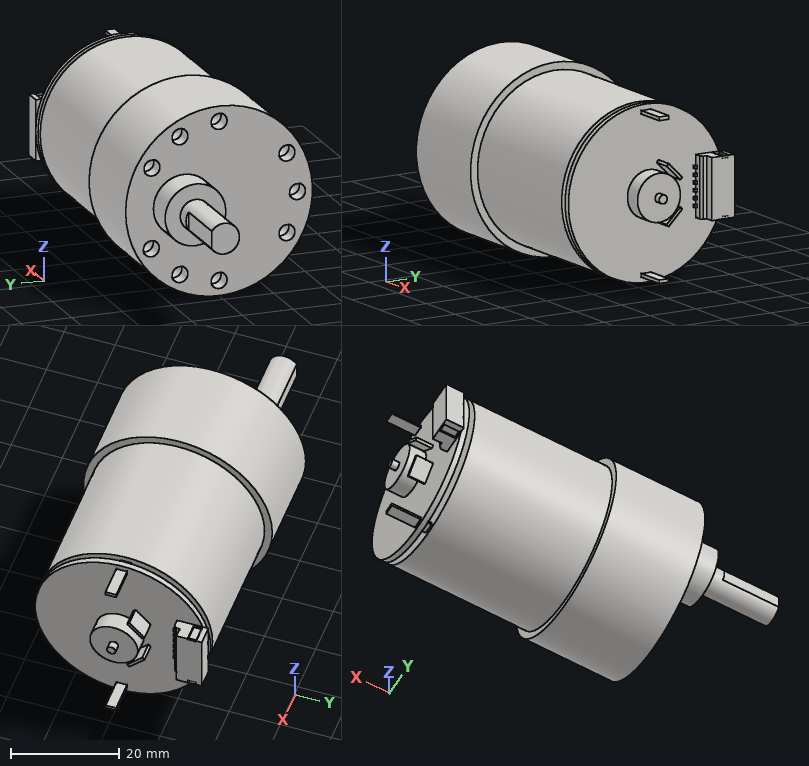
import cadquery as cq
import math


total_length = 77.9
gearbox_diameter = 37.0
gearbox_length = 19.0
shaft_offset = 7.0
boss_diameter = 12.0
boss_length = 6.1
shaft_diameter = 6.0
shaft_reach = 21.0
flat_length = 12.0
flat_depth = 0.55

hole_circle_diameter = 31.0
hole_diameter = 3.1
hole_depth = 3.1
drill_tip_angle = 118.0
hole_angles = (31, 60, 90, 150, 180, 210, 270, 300, 330)

can_diameter = 34.0
can_length = 29.4
bearing_diameter = 3.0
tail_diameter = 1.7
terminal_width = 2.1
terminal_thickness = 0.7
terminal_radius = 15.5
tail_recess = 0.2

board_gap = 1.2
board_thickness = 1.2

magnet_diameter = 9.35
magnet_thickness = 3.5
magnet_gap = 0.9

sensor_width = 4.2
sensor_thickness = 0.6
sensor_height = 3.5
sensor_y = 4.0
sensor_z = 4.3
sensor_tilt = 45.0

connector_width = 12.0
connector_height = 3.75
connector_depth = 5.0
ledge_height = 1.9
ledge_depth = 1.2
ledge_chamfer = 0.5
slot_margin = 0.2
slot_setback = 1.2
slot_length = 1.6
slot_depth = 0.5
pin_count = 6
pin_pitch = 1.5
pin_size = 0.55
pin_reach = 0.55

can_end = gearbox_length + can_length
board_front = can_end + board_gap
board_back = board_front + board_thickness
terminal_end = total_length - shaft_reach
tail_end = terminal_end - tail_recess
terminal_positions = (-terminal_radius, terminal_radius)


def cylinder_x(x_start, x_end, diameter, y=0.0):
    """Cylinder parallel to X between two X positions."""
    disc = cq.Workplane("YZ", origin=(x_start, y, 0)).circle(diameter / 2)
    return disc.extrude(x_end - x_start)


def box_between(x_range, y_range, z_range):
    """Axis-aligned box given by its (low, high) limits on each axis."""
    sizes = [high - low for low, high in (x_range, y_range, z_range)]
    corner = (x_range[0], y_range[0], z_range[0])
    return cq.Workplane("XY", origin=corner).box(*sizes, centered=False)


def make_output_shaft():
    """D-shaft with its flat on the +Y side."""
    shaft = cylinder_x(-shaft_reach, 0, shaft_diameter, shaft_offset)
    shaft_top = shaft_offset + shaft_diameter / 2
    flat = box_between(
        (-shaft_reach, flat_length - shaft_reach),
        (shaft_top - flat_depth, shaft_top),
        (-shaft_diameter / 2, shaft_diameter / 2),
    )
    return shaft.cut(flat)


def make_mounting_hole(angle):
    """Blind hole with a conical drill tip, at an angle from +Y toward +Z."""
    radius = hole_diameter / 2
    tip_length = radius / math.tan(math.radians(drill_tip_angle / 2))
    drill = (
        cq.Workplane("XY")
        .polyline([(0, 0), (0, radius), (hole_depth, radius), (hole_depth + tip_length, 0)])
        .close()
        .revolve(360, (0, 0, 0), (1, 0, 0))
    )
    return drill.translate((0, hole_circle_diameter / 2, 0)).rotate((0, 0, 0), (1, 0, 0), angle)


def make_terminal(z_center):
    """Flat terminal blade that runs from the can through the board."""
    return box_between(
        (can_end, terminal_end),
        (-terminal_width / 2, terminal_width / 2),
        (z_center - terminal_thickness / 2, z_center + terminal_thickness / 2),
    )


def make_gearmotor():
    """Gearbox, output shaft, motor can, tail shaft and terminals."""
    body = cylinder_x(0, gearbox_length, gearbox_diameter)
    for angle in hole_angles:
        body = body.cut(make_mounting_hole(angle))
    body = body.union(cylinder_x(-boss_length, 0, boss_diameter, shaft_offset))
    body = body.union(make_output_shaft())
    body = body.union(cylinder_x(gearbox_length, can_end, can_diameter))
    body = body.union(cylinder_x(can_end, board_front, bearing_diameter))
    body = body.union(cylinder_x(can_end, tail_end, tail_diameter))
    for z_center in terminal_positions:
        body = body.union(make_terminal(z_center))
    return body


def make_sensor(side):
    """Flat Hall sensor facing the magnet; side is +1 above the axis and -1 below it."""
    sensor = cq.Workplane("XY").box(sensor_height, sensor_thickness, sensor_width)
    sensor = sensor.rotate((0, 0, 0), (1, 0, 0), side * sensor_tilt)
    return sensor.translate((board_back + sensor_height / 2, sensor_y, side * sensor_z))


def make_connector():
    """Stepped connector housing with a slot in each side wall and a row of pins."""
    y_outer = can_diameter / 2
    y_step = y_outer - connector_depth
    y_ledge = y_step - ledge_depth
    x_ledge = board_back + ledge_height
    x_top = board_back + connector_height
    half_width = connector_width / 2

    housing = box_between((board_back, x_top), (y_step, y_outer), (-half_width, half_width))
    ledge = box_between((board_back, x_ledge), (y_ledge, y_step), (-half_width, half_width))
    housing = housing.union(ledge.edges(">X and <Y").chamfer(ledge_chamfer))

    slot_x = (board_back + slot_margin, x_top - slot_margin)
    slot_y = (y_outer - slot_setback - slot_length, y_outer - slot_setback)
    slot = box_between(slot_x, slot_y, (half_width - slot_depth, half_width))
    housing = housing.cut(slot).cut(slot.mirror("XY"))

    for index in range(pin_count):
        pin_z = (index - (pin_count - 1) / 2) * pin_pitch
        pin = box_between(
            (board_back, board_back + pin_size),
            (y_ledge - pin_reach, y_ledge),
            (pin_z - pin_size / 2, pin_z + pin_size / 2),
        )
        housing = housing.union(pin)
    return housing


def make_encoder_board():
    """Round board with two Hall sensors and a connector, fitted over shaft and terminals."""
    board = cylinder_x(board_front, board_back, can_diameter)
    board = board.cut(cylinder_x(board_front, board_back, tail_diameter))
    for z_center in terminal_positions:
        board = board.cut(make_terminal(z_center))
    for side in (-1, 1):
        board = board.union(make_sensor(side))
    return board.union(make_connector())


def make_magnet():
    """Magnet disc pressed onto the tail shaft."""
    front = board_back + magnet_gap
    back = front + magnet_thickness
    disc = cylinder_x(front, back, magnet_diameter)
    return disc.cut(cylinder_x(front, back, tail_diameter))


gearmotor = make_gearmotor()
encoder_board = make_encoder_board()
magnet = make_magnet()

result = cq.Compound.makeCompound([gearmotor.val(), encoder_board.val(), magnet.val()])